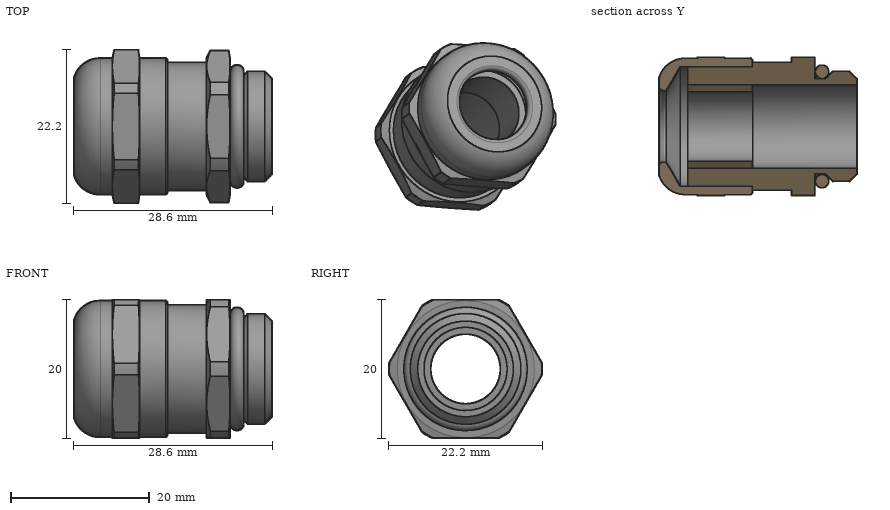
import cadquery as cq
import math

LIP_END = 1.05
POCKET_START = 3.05
SEAL_FRONT = 4.15
CAP_HEX_START = 5.52
CAP_HEX_END = 9.47
CAP_END = 13.53
BODY_HEX_START = 19.1
BODY_HEX_END = 22.55
NOSE_START = 25.08
BODY_END = 28.6

CAP_DIA = 19.8
DOME_RADIUS = 4.0
DOME_FACE_DIA = 14.25
ENTRY_DIA = 10.3
ENTRY_FILLET = 0.57
CAP_RIM_CHAMFER = 0.3

HEX_FLATS = 20.0
CAP_HEX_CORNERS = 22.2
BODY_HEX_CORNERS = 22.0
HEX_FACE_DIA = CAP_DIA
CAP_HEX_FRONT_BEVEL = 0.3
CAP_HEX_REAR_BEVEL = 0.17
BODY_HEX_FRONT_BEVEL = 0.57
BODY_HEX_REAR_BEVEL = 0.2

SPIGOT_DIA = 17.25
BARREL_DIA = 18.6
NOSE_DIA = 16.0
GROOVE_DIA = 13.8
BODY_BORE = 12.0

SEAL_BORE = 10.0
ORING_SECTION = 2.0


def cylinder(diameter, start, end):
    """Cylinder on the X axis between two stations."""
    return cq.Workplane("YZ", origin=(start, 0, 0)).circle(diameter / 2).extrude(end - start)


def revolve_about_x(profile):
    """Full turn of a closed XY outline about the X axis."""
    return profile.close().revolve(360, (0, 0, 0), (1, 0, 0))


def beveled_hex(start, end, corner_dia, front_bevel, rear_bevel):
    """Hexagon with flats at top and bottom, turned corners and conical bevels on both faces."""
    face_radius = HEX_FACE_DIA / 2
    corner_radius = corner_dia / 2
    prism = (
        cq.Workplane("YZ", origin=(start, 0, 0))
        .polygon(6, HEX_FLATS / math.cos(math.pi / 6))
        .extrude(end - start)
    )
    turned_blank = revolve_about_x(
        cq.Workplane("XY")
        .moveTo(start, 0)
        .lineTo(start, face_radius)
        .lineTo(start + front_bevel, corner_radius)
        .lineTo(end - rear_bevel, corner_radius)
        .lineTo(end, face_radius)
        .lineTo(end, 0)
    )
    return prism.intersect(turned_blank)


def make_cap():
    """Domed cap nut with a rounded cable entry that flares out to a socket for the body spigot."""
    cap_radius = CAP_DIA / 2
    dome_face_radius = DOME_FACE_DIA / 2
    dome_center_radius = cap_radius - DOME_RADIUS
    dome_length = math.sqrt(DOME_RADIUS**2 - (dome_face_radius - dome_center_radius) ** 2)
    shell = revolve_about_x(
        cq.Workplane("XY")
        .lineTo(0, dome_face_radius)
        .radiusArc((dome_length, cap_radius), DOME_RADIUS)
        .lineTo(CAP_END - CAP_RIM_CHAMFER, cap_radius)
        .lineTo(CAP_END, cap_radius - CAP_RIM_CHAMFER)
        .lineTo(CAP_END, 0)
    )
    hexagon = beveled_hex(
        CAP_HEX_START, CAP_HEX_END, CAP_HEX_CORNERS, CAP_HEX_FRONT_BEVEL, CAP_HEX_REAR_BEVEL
    )
    entry_radius = ENTRY_DIA / 2
    entry = revolve_about_x(
        cq.Workplane("XY")
        .lineTo(0, entry_radius + ENTRY_FILLET)
        .radiusArc((ENTRY_FILLET, entry_radius), -ENTRY_FILLET)
        .lineTo(LIP_END, entry_radius)
        .lineTo(POCKET_START, SPIGOT_DIA / 2)
        .lineTo(POCKET_START, 0)
    )
    socket = cylinder(SPIGOT_DIA, POCKET_START, CAP_END)
    return shell.union(hexagon).cut(entry).cut(socket)


def make_body():
    """Gland body: spigot inside the cap, barrel, hexagon, O-ring groove and chamfered nose."""
    nose_radius = NOSE_DIA / 2
    groove_radius = GROOVE_DIA / 2
    flank = nose_radius - groove_radius
    nose = revolve_about_x(
        cq.Workplane("XY")
        .moveTo(BODY_HEX_END, 0)
        .lineTo(BODY_HEX_END, groove_radius)
        .lineTo(NOSE_START - flank, groove_radius)
        .lineTo(NOSE_START, nose_radius)
        .lineTo(BODY_END - flank, nose_radius)
        .lineTo(BODY_END, groove_radius)
        .lineTo(BODY_END, 0)
    )
    hexagon = beveled_hex(
        BODY_HEX_START, BODY_HEX_END, BODY_HEX_CORNERS, BODY_HEX_FRONT_BEVEL, BODY_HEX_REAR_BEVEL
    )
    spigot = cylinder(SPIGOT_DIA, SEAL_FRONT, CAP_END)
    barrel = cylinder(BARREL_DIA, CAP_END, BODY_HEX_START)
    bore = cylinder(BODY_BORE, SEAL_FRONT, BODY_END)
    return spigot.union(barrel).union(hexagon).union(nose).cut(bore)


def make_seal():
    """Tubular cable seal that fills the front of the body bore."""
    return cylinder(BODY_BORE, SEAL_FRONT, CAP_END).cut(cylinder(SEAL_BORE, SEAL_FRONT, CAP_END))


def make_oring():
    """O-ring seated in the groove, against the rear face of the body hexagon."""
    section_radius = ORING_SECTION / 2
    ring_radius = GROOVE_DIA / 2 + section_radius
    return (
        cq.Workplane("XY")
        .moveTo(BODY_HEX_END + section_radius, ring_radius)
        .circle(section_radius)
        .revolve(360, (0, 0, 0), (1, 0, 0))
    )


cap = make_cap()
body = make_body()
seal = make_seal()
oring = make_oring()

result = cq.Compound.makeCompound([cap.val(), body.val(), seal.val(), oring.val()])